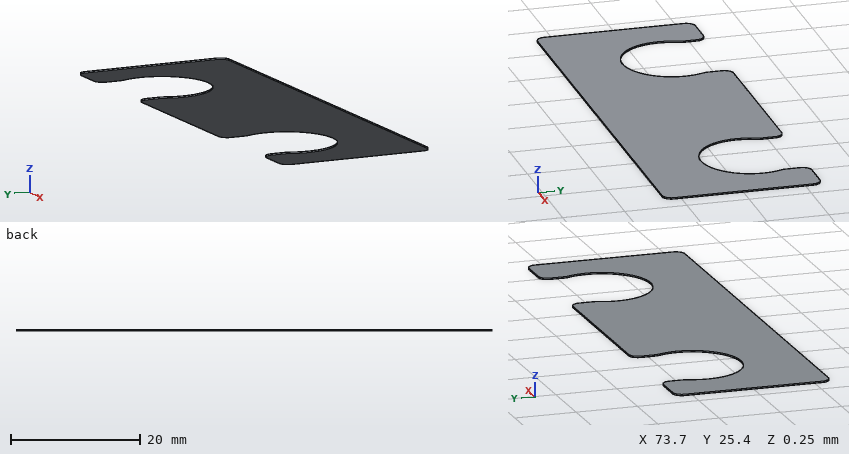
import cadquery as cq

length = 73.65
width = 25.4
thickness = 0.25
corner_radius = 1.5

seat_spacing = 44.5
seat_radius = 7.9
seat_center_y = 17.8
mouth_width = 14.2
mouth_blend_radius = 2.2


def seat_cutter(center_x):
    """Round seat plus the straight mouth running out to the rear edge."""
    mouth_depth = width - seat_center_y
    seat = cq.Workplane("XY").center(center_x, seat_center_y).circle(seat_radius).extrude(thickness)
    mouth = (
        cq.Workplane("XY")
        .center(center_x, seat_center_y + mouth_depth / 2)
        .rect(mouth_width, mouth_depth)
        .extrude(thickness)
    )
    cutter = seat.union(mouth)
    ridge_zone = cq.selectors.BoxSelector(
        (center_x - seat_radius, seat_center_y + mouth_depth / 4, -thickness),
        (center_x + seat_radius, width - mouth_depth / 4, 2 * thickness),
    )
    return cutter.edges("|Z").edges(ridge_zone).fillet(mouth_blend_radius)


plate = cq.Workplane("XY").rect(length, width).extrude(thickness).translate((0, width / 2, 0))
for side in (-1, 1):
    plate = plate.cut(seat_cutter(side * seat_spacing / 2))

result = plate.edges("|Z").edges("<Y or >Y").fillet(corner_radius)